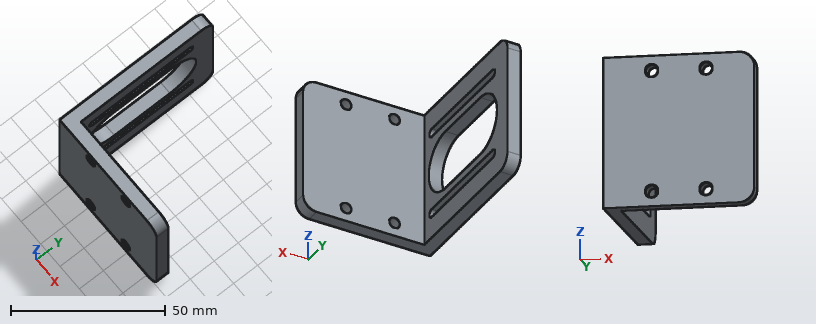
import cadquery as cq

width = 50.0
depth = 60.0
height = 50.0
thickness = 5.0
corner_radius = 5.0

hole_diameter = 3.9
hole_chamfer = 0.25
hole_edge_distance = 5.0
hole_first_x = 16.0
hole_spacing_x = 18.0

opening_length = 45.0
opening_height = 21.85
opening_center_y = 30.5
slot_length = 43.3
slot_height = 3.0
slot_center_y = 30.05
slot_edge_distance = 9.5


def front_plate():
    """Plate in the XZ plane, rounded at its free end."""
    plate = cq.Workplane("XY").box(width, thickness, height, centered=False)
    return plate.edges("|Y and >X").fillet(corner_radius)


def side_plate():
    """Plate in the YZ plane, rounded at its free end."""
    plate = cq.Workplane("XY").box(thickness, depth, height, centered=False)
    return plate.edges("|X and >Y").fillet(corner_radius)


def screw_hole(x, z):
    """Cutter for a through hole along Y, chamfered at the outer face."""
    radius = hole_diameter / 2
    profile = [
        (0, 0),
        (radius + hole_chamfer, 0),
        (radius, hole_chamfer),
        (radius, thickness),
        (0, thickness),
    ]
    cutter = cq.Workplane("XY").polyline(profile).close().revolve(360, (0, 0), (0, 1))
    return cutter.translate((x, 0, z))


def side_slot(length, slot_width, y, z):
    """Cutter for a round-ended slot running along Y through the side plate."""
    return cq.Workplane("YZ").center(y, z).slot2D(length, slot_width).extrude(thickness)


result = front_plate().union(side_plate())

for hole_x in (hole_first_x, hole_first_x + hole_spacing_x):
    for hole_z in (hole_edge_distance, height - hole_edge_distance):
        result = result.cut(screw_hole(hole_x, hole_z))

result = result.cut(side_slot(opening_length, opening_height, opening_center_y, height / 2))
for slot_z in (slot_edge_distance, height - slot_edge_distance):
    result = result.cut(side_slot(slot_length, slot_height, slot_center_y, slot_z))